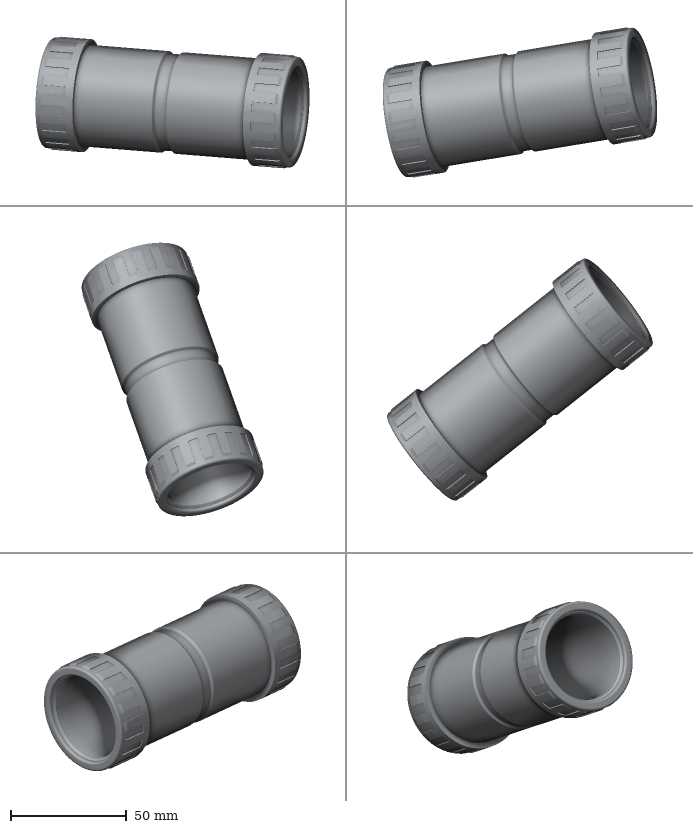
import cadquery as cq
import math

total_length = 110.0
half_length = total_length / 2

tube_radius = 22.0
bore_radius = 18.9

groove_radius = 21.0
groove_floor_width = 4.7
groove_mouth_width = 6.6
groove_edge_fillet = 0.4

collar_length = 16.8
collar_diameter = 49.0
collar_radius = collar_diameter / 2
grip_depth = 0.5
recess_radius = collar_radius - grip_depth
recess_end = 13.4
rim_fillet = 1.0

rib_count = 18
rib_pitch = 360.0 / rib_count
rib_angle = rib_pitch / 2
rib_ramp_start = 2.1
rib_ramp_end = 3.3

mouth_face_radius = 20.9
mouth_fillet = 1.0
mouth_taper_radius = 19.7
mouth_taper_start = 1.8
mouth_taper_end = 2.8


def revolve_about_x(profile):
    """Turn a closed (x, radius) profile about the X axis."""
    return profile.close().revolve(360, (0, 0, 0), (1, 0, 0))


def make_tube():
    """Solid tube body between the collars, with the softened central groove."""
    profile = (
        cq.Workplane("XY")
        .moveTo(-half_length + collar_length, 0)
        .lineTo(-half_length + collar_length, tube_radius)
        .lineTo(-groove_mouth_width / 2, tube_radius)
        .lineTo(-groove_floor_width / 2, groove_radius)
        .lineTo(groove_floor_width / 2, groove_radius)
        .lineTo(groove_mouth_width / 2, tube_radius)
        .lineTo(half_length - collar_length, tube_radius)
        .lineTo(half_length - collar_length, 0)
    )
    groove_box = cq.selectors.BoxSelector(
        (-groove_mouth_width, -half_length, -half_length),
        (groove_mouth_width, half_length, half_length),
    )
    return revolve_about_x(profile).edges("%CIRCLE").edges(groove_box).fillet(groove_edge_fillet)


def make_collar_core():
    """Left collar without ribs: a rounded rim, the recessed grip and a full band."""
    face = -half_length
    diagonal = rim_fillet * (1 - math.sqrt(0.5))
    profile = (
        cq.Workplane("XY")
        .moveTo(face, 0)
        .lineTo(face, recess_radius - rim_fillet)
        .threePointArc(
            (face + diagonal, recess_radius - diagonal),
            (face + rim_fillet, recess_radius),
        )
        .lineTo(face + recess_end, recess_radius)
        .lineTo(face + recess_end, collar_radius)
        .lineTo(face + collar_length, collar_radius)
        .lineTo(face + collar_length, 0)
    )
    return revolve_about_x(profile)


def make_rib():
    """Grip rib on the left collar, centred on the XY plane, with a ramp at its outer end."""
    face = -half_length
    profile = (
        cq.Workplane("XY")
        .moveTo(face + rib_ramp_start, tube_radius)
        .lineTo(face + rib_ramp_start, recess_radius)
        .lineTo(face + rib_ramp_end, collar_radius)
        .lineTo(face + recess_end, collar_radius)
        .lineTo(face + recess_end, tube_radius)
        .close()
    )
    rib = profile.revolve(rib_angle, (0, 0, 0), (1, 0, 0))
    return rib.rotate((0, 0, 0), (1, 0, 0), -rib_angle / 2)


def make_mouth_cutter():
    """Left bore entrance: a rounded lip, a short counterbore and a taper down to the bore."""
    face = -half_length
    lip_radius = mouth_face_radius - mouth_fillet
    diagonal = mouth_fillet * (1 - math.sqrt(0.5))
    profile = (
        cq.Workplane("XY")
        .moveTo(face, 0)
        .lineTo(face, mouth_face_radius)
        .threePointArc(
            (face + diagonal, lip_radius + diagonal),
            (face + mouth_fillet, lip_radius),
        )
        .lineTo(face + mouth_taper_start, lip_radius)
        .lineTo(face + mouth_taper_start, mouth_taper_radius)
        .lineTo(face + mouth_taper_end, bore_radius)
        .lineTo(face + mouth_taper_end, 0)
    )
    return revolve_about_x(profile)


collar = make_collar_core()
for index in range(rib_count):
    collar = collar.union(make_rib().rotate((0, 0, 0), (1, 0, 0), rib_angle + index * rib_pitch))

mouth = make_mouth_cutter()
bore = cq.Workplane("YZ").circle(bore_radius).extrude(half_length, both=True)

result = (
    make_tube()
    .union(collar)
    .union(collar.mirror("YZ"))
    .cut(bore)
    .cut(mouth)
    .cut(mouth.mirror("YZ"))
)